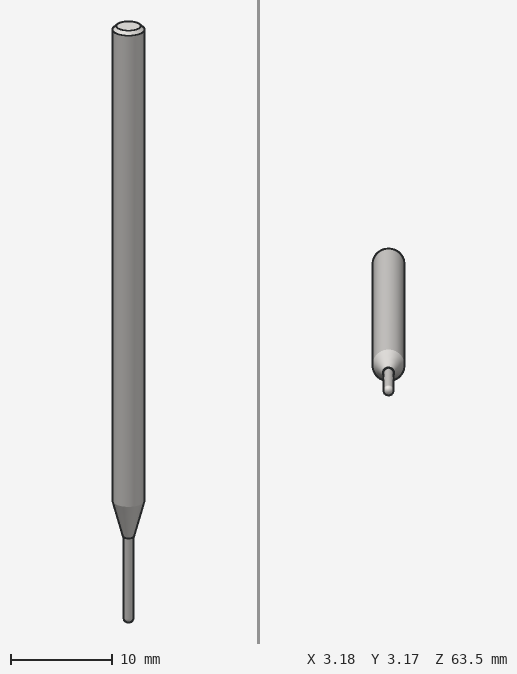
import cadquery as cq
import math

overall_length = 63.5
shank_diameter = 3.175

bit_diameter = 1.016
neck_height = 9.15

taper_top = 12.95
taper_end_diameter = 1.12
top_chamfer = 0.38

shank_radius = shank_diameter / 2
bit_radius = bit_diameter / 2
taper_end_radius = taper_end_diameter / 2


def turn(outline):
    """Revolve a closed outline of radius and height about the Z axis."""
    return outline.close().revolve(360, (0, 0), (0, 1))


def make_shank():
    """Round shank, chamfered at the top, tapering to the neck where the bit begins."""
    outline = (
        cq.Workplane("XZ")
        .moveTo(0, neck_height)
        .lineTo(taper_end_radius, neck_height)
        .lineTo(shank_radius, taper_top)
        .lineTo(shank_radius, overall_length - top_chamfer)
        .lineTo(shank_radius - top_chamfer, overall_length)
        .lineTo(0, overall_length)
    )
    return turn(outline)


def make_bit():
    """Thin round bit with a ball nose, butted against the end of the taper."""
    nose_mid_offset = bit_radius * math.sin(math.radians(45))
    outline = (
        cq.Workplane("XZ")
        .moveTo(0, 0)
        .threePointArc((nose_mid_offset, bit_radius - nose_mid_offset), (bit_radius, bit_radius))
        .lineTo(bit_radius, neck_height)
        .lineTo(0, neck_height)
    )
    return turn(outline)


shank = make_shank()
bit = make_bit()

result = cq.Compound.makeCompound([shank.val(), bit.val()])